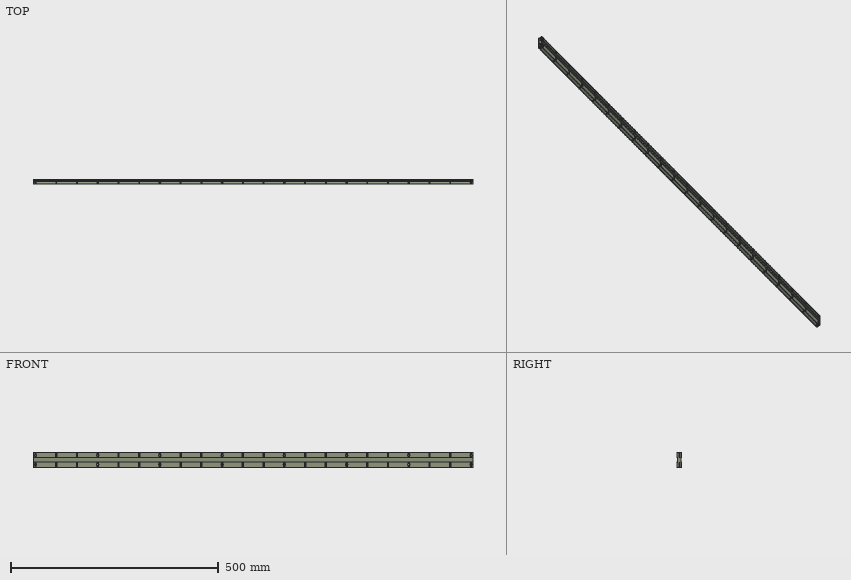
import cadquery as cq
import math

length = 1060.0
thickness = 11.0
height = 37.0

groove_height = 11.0
groove_depth = 1.0

slit_front_y = 0.5
slit_width = 1.0
slit_bottom_z = 7.0
front_lip_radius = 3.0
back_lip_chamfer = 0.8
back_edge_radius = 1.2

slot_pitch = 50.0
slot_width = 2.0
end_margin = 5.0
slots_per_hole = 3
hole_diameter = 4.5
hole_z = 11.0

half_length = length / 2
half_height = height / 2
front_y = -thickness / 2
back_y = thickness / 2
slot_count = round((length - 2 * end_margin) / slot_pitch) + 1
clearance = 1.0
sides = (1, -1)


def block(x_range, y_range, z_range):
    """Box between two limits on each axis, the limits given in any order."""
    limits = [sorted(pair) for pair in (x_range, y_range, z_range)]
    size = [high - low for low, high in limits]
    corner = [low for low, high in limits]
    return cq.Workplane("XY").box(*size, centered=False).translate(tuple(corner))


def make_bar():
    """Plain bar with both long back edges rounded."""
    bar = cq.Workplane("XY").box(length, thickness, height)
    return bar.edges("|X and >Y").fillet(back_edge_radius)


def cut_central_grooves(rail):
    """Shallow lengthwise groove in the middle of the front and the back face."""
    z_range = (-groove_height / 2, groove_height / 2)
    x_range = (-half_length, half_length)
    front = block(x_range, (front_y, front_y + groove_depth), z_range)
    back = block(x_range, (back_y - groove_depth, back_y), z_range)
    return rail.cut(front).cut(back)


def make_slit(side):
    """Lengthwise slit with a rounded front mouth and a chamfered back mouth."""
    slit_back_y = slit_front_y + slit_width
    arc_start_y = slit_front_y - front_lip_radius
    arc_end_z = half_height - front_lip_radius
    arc_reach = front_lip_radius * math.sqrt(0.5)
    chamfer_top_y = slit_back_y + back_lip_chamfer
    outside_z = half_height + clearance
    profile = (
        cq.Workplane("YZ")
        .moveTo(arc_start_y, side * half_height)
        .threePointArc(
            (arc_start_y + arc_reach, side * (arc_end_z + arc_reach)),
            (slit_front_y, side * arc_end_z),
        )
        .lineTo(slit_front_y, side * slit_bottom_z)
        .lineTo(slit_back_y, side * slit_bottom_z)
        .lineTo(slit_back_y, side * (half_height - back_lip_chamfer))
        .lineTo(chamfer_top_y, side * half_height)
        .lineTo(chamfer_top_y, side * outside_z)
        .lineTo(arc_start_y, side * outside_z)
        .close()
    )
    return profile.extrude(half_length, both=True)


def cut_cross_slot(rail, x):
    """Slot through both lips down to the slit bottom, run out into the front groove."""
    x_range = (x - slot_width / 2, x + slot_width / 2)
    outside_z = half_height + clearance
    channel = block(x_range, (front_y, front_y + groove_depth), (-outside_z, outside_z))
    rail = rail.cut(channel)
    for side in sides:
        rail = rail.cut(block(x_range, (front_y, back_y), (side * slit_bottom_z, side * outside_z)))
    return rail


def cut_screw_holes(rail, x):
    """One hole through the thickness in each half of the rail."""
    holes = (
        cq.Workplane("XZ", origin=(x, 0, 0))
        .pushPoints([(0, side * hole_z) for side in sides])
        .circle(hole_diameter / 2)
        .extrude(thickness, both=True)
    )
    return rail.cut(holes)


rail = cut_central_grooves(make_bar())
for side in sides:
    rail = rail.cut(make_slit(side))

for index in range(slot_count):
    slot_x = -half_length + end_margin + index * slot_pitch
    rail = cut_cross_slot(rail, slot_x)
    if index % slots_per_hole == 0:
        rail = cut_screw_holes(rail, slot_x)

result = rail